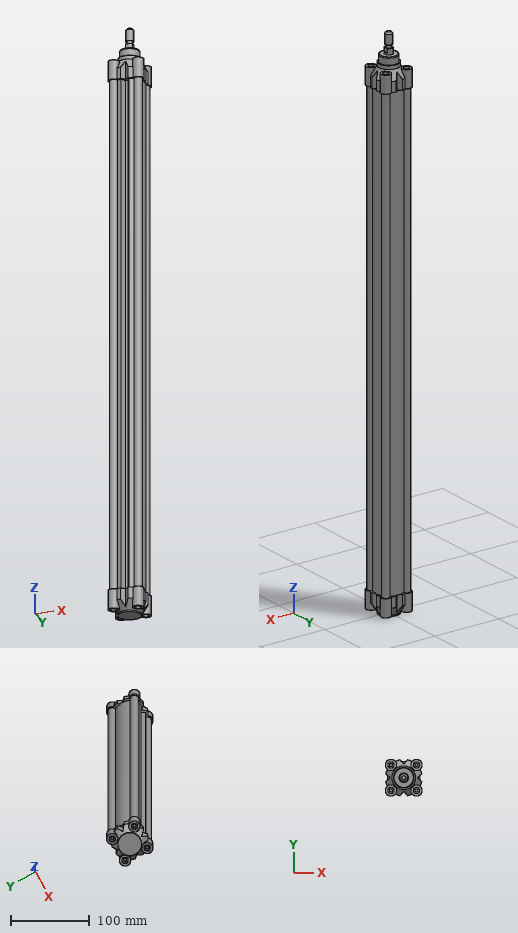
import cadquery as cq
import math

total_length = 796.0
boss_height = 4.0
cap_length = 26.0
nose_height = 48.5
rear_face_z = boss_height
front_face_z = total_length - nose_height
barrel_bottom_z = rear_face_z + cap_length
barrel_top_z = front_face_z - cap_length

cap_width = 47.0
cap_core_radius = cap_width / 2
cap_post_radius = 7.25
bolt_offset = cap_width / 2 - cap_post_radius
boss_radius = 15.0
cone_rise = 2.0
cone_drop = 11.0
groove_floor = 17.5
groove_wall_angle = 48.0
screw_recess_diameter = 8.0
screw_recess_depth = 4.0
screw_socket_diameter = 4.0
screw_socket_depth = 2.0

flange_height = 7.0
collar_diameter = 26.0
collar_radius = collar_diameter / 2
collar_height = 18.0
collar_chamfer_width = 1.0
collar_chamfer_height = 1.5

barrel_core_radius = 21.0
barrel_post_radius = 5.5
slot_mouth_width = 12.0
slot_throat_width = 9.0
slot_throat_reach = 18.0
slot_floor_width = 3.0
slot_floor_reach = 13.5

rod_diameter = 12.0
thread_diameter = 10.0
neck_diameter = 8.0
thread_length = 17.5
neck_length = 4.4
tip_chamfer = 2.55
flat_width = 9.5
flat_length = 5.5

CORNERS = [(sx * bolt_offset, sy * bolt_offset) for sx in (-1, 1) for sy in (-1, 1)]


def corner_cylinders(radius, bottom_z, height):
    """Four upright cylinders on the screw axes."""
    return cq.Workplane("XY").workplane(offset=bottom_z).pushPoints(CORNERS).circle(radius).extrude(height)


def revolved(profile):
    """Solid of revolution about Z from (radius, height) points."""
    return cq.Workplane("XZ").polyline(profile).close().revolve(360, (0, 0), (0, 1))


def cap_body():
    """Cap shell with its inner end at z = 0 and its mounting face at z = cap_length."""
    core = revolved([
        (0, 0),
        (cap_core_radius, 0),
        (cap_core_radius, cap_length - cone_drop),
        (boss_radius, cap_length + cone_rise),
        (boss_radius, cap_length + boss_height),
        (0, cap_length + boss_height),
    ])
    body = core.union(corner_cylinders(cap_post_radius, 0, cap_length))

    groove_depth = cap_width / 2 - groove_floor
    half_width = groove_depth / math.tan(math.radians(groove_wall_angle))
    groove = (
        cq.Workplane("XY")
        .polyline([(0, -groove_floor), (half_width, -cap_width / 2), (-half_width, -cap_width / 2)])
        .close()
        .extrude(cap_length + cone_rise)
    )
    for side in range(4):
        body = body.cut(groove.rotate((0, 0, 0), (0, 0, 1), 90 * side))

    recess_z = cap_length - screw_recess_depth
    body = body.cut(corner_cylinders(screw_recess_diameter / 2, recess_z, screw_recess_depth))
    return body.cut(
        corner_cylinders(screw_socket_diameter / 2, recess_z - screw_socket_depth, screw_socket_depth)
    )


def make_rear_cap():
    return cap_body().rotate((0, 0, 0), (1, 0, 0), 180).translate((0, 0, barrel_bottom_z))


def make_front_cap():
    cap = cap_body().translate((0, 0, barrel_top_z))
    collar_top = front_face_z + collar_height
    collar = revolved([
        (0, front_face_z),
        (boss_radius, front_face_z),
        (boss_radius, front_face_z + flange_height),
        (collar_radius, front_face_z + flange_height),
        (collar_radius, collar_top - collar_chamfer_height),
        (collar_radius - collar_chamfer_width, collar_top),
        (0, collar_top),
    ])
    rod_bore = (
        cq.Workplane("XY").workplane(offset=barrel_top_z).circle(rod_diameter / 2)
        .extrude(collar_top - barrel_top_z)
    )
    return cap.union(collar).cut(rod_bore)


def make_barrel():
    barrel_length = barrel_top_z - barrel_bottom_z
    core = (
        cq.Workplane("XY").workplane(offset=barrel_bottom_z).circle(barrel_core_radius)
        .extrude(barrel_length)
    )
    barrel = core.union(corner_cylinders(barrel_post_radius, barrel_bottom_z, barrel_length))

    slot = (
        cq.Workplane("XY")
        .workplane(offset=barrel_bottom_z)
        .polyline([
            (-slot_mouth_width / 2, -barrel_core_radius),
            (-slot_throat_width / 2, -slot_throat_reach),
            (-slot_floor_width / 2, -slot_floor_reach),
            (slot_floor_width / 2, -slot_floor_reach),
            (slot_throat_width / 2, -slot_throat_reach),
            (slot_mouth_width / 2, -barrel_core_radius),
        ])
        .close()
        .extrude(barrel_length)
    )
    return barrel.cut(slot)


def make_rod():
    thread_bottom = total_length - thread_length
    shoulder_z = thread_bottom - neck_length
    rod = revolved([
        (0, barrel_top_z),
        (rod_diameter / 2, barrel_top_z),
        (rod_diameter / 2, shoulder_z),
        (neck_diameter / 2, shoulder_z),
        (neck_diameter / 2, thread_bottom),
        (thread_diameter / 2, thread_bottom),
        (thread_diameter / 2, total_length - tip_chamfer),
        (thread_diameter / 2 - tip_chamfer, total_length),
        (0, total_length),
    ])

    flat_zone = cq.Workplane("XY").workplane(offset=shoulder_z - flat_length)
    ring = flat_zone.circle(rod_diameter).extrude(flat_length)
    kept = flat_zone.rect(flat_width, 2 * rod_diameter).extrude(flat_length)
    return rod.cut(ring.cut(kept))


rear_cap = make_rear_cap()
front_cap = make_front_cap()
barrel = make_barrel()
rod = make_rod()

result = cq.Compound.makeCompound([rear_cap.val(), front_cap.val(), barrel.val(), rod.val()])